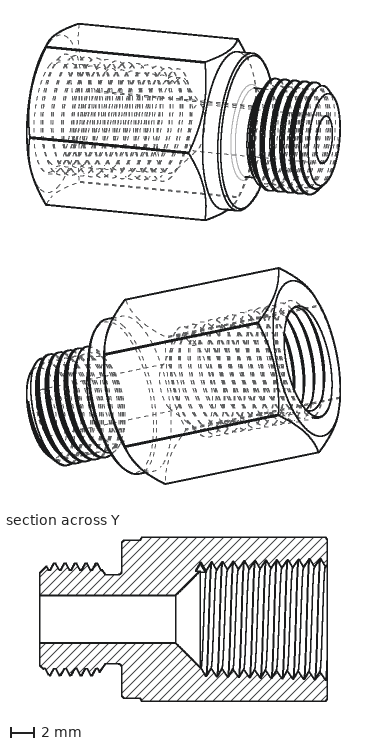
import cadquery as cq
import math

hex_sides = 6
hex_across_flats = 14.2
hex_corner_diameter = 16.33
hex_length = 16.2
hex_chamfer_angle = 30.0

collar_diameter = 13.7
collar_end = 17.8
collar_chamfer = 0.2

neck_diameter = 7.73
neck_end = 19.2
neck_fillet = 0.3

total_length = 24.9
outside_pitch = 0.907
outside_major_diameter = 9.728
outside_minor_diameter = 8.566
outside_flank_half_angle = 27.5
outside_root_flat = outside_pitch / 6
outside_tip_diameter = 8.0
outside_root_position = 18.6
outside_start_angle = 90.0
thread_start_angle = 55.0

inside_pitch = 25.4 / 27
inside_flank_half_angle = 30.0
inside_taper_angle = math.degrees(math.atan(1 / 32))
inside_crest_radius = 4.53
inside_thread_depth = 11.0
inside_crest_flat = 0.08 * inside_pitch
inside_root_flat = 0.04 * inside_pitch
inside_root_angle = 214.0

bore_diameter = 4.1
bore_cone_angle = 90.0

outside_groove_overrun = 0.05
inside_groove_overrun = 0.02

axis_plane = cq.Plane(origin=(0, 0, 0), xDir=(0, 1, 0), normal=(1, 0, 0))


def revolve_profile(profile):
    """Turn a closed (axial, radial) outline about the X axis."""
    return profile.close().revolve(360, (0, 0, 0), (1, 0, 0))


def thread_groove(
    start, start_angle, length, pitch, root_radius, root_flat, depth, half_angle, outward, taper=None
):
    """Right-hand helical groove along X, its root at root_radius where it starts.

    outward is +1 for a groove opening away from the axis and -1 for one opening towards it.
    """
    half_root = root_flat / 2
    half_mouth = half_root + depth * math.tan(math.radians(half_angle))
    mouth_radius = root_radius + outward * depth
    section = (
        cq.Workplane("XZ")
        .moveTo(root_radius, -half_root)
        .lineTo(root_radius, half_root)
        .lineTo(mouth_radius, half_mouth)
        .lineTo(mouth_radius, -half_mouth)
        .close()
    )
    if taper is None:
        helix = cq.Wire.makeHelix(pitch, length, root_radius)
    else:
        helix = cq.Wire.makeHelix(pitch, length, root_radius, angle=taper)
    groove = section.sweep(cq.Workplane(helix), isFrenet=True).val()
    placed = groove.moved(cq.Location(axis_plane)).moved(cq.Location((start, 0, 0)))
    return placed.rotate((0, 0, 0), (1, 0, 0), start_angle)


def make_hex_body():
    """Hexagon with flats on +Z and -Z, its corners turned down and both ends chamfered."""
    corner_radius = hex_corner_diameter / 2
    face_radius = collar_diameter / 2
    chamfer = (corner_radius - face_radius) * math.tan(math.radians(hex_chamfer_angle))
    sharp_corner_diameter = hex_across_flats / math.cos(math.radians(180 / hex_sides))
    prism = cq.Workplane("YZ").polygon(hex_sides, sharp_corner_diameter).extrude(hex_length)
    turned = revolve_profile(
        cq.Workplane("XY")
        .lineTo(0, face_radius)
        .lineTo(chamfer, corner_radius)
        .lineTo(hex_length - chamfer, corner_radius)
        .lineTo(hex_length, face_radius)
        .lineTo(hex_length, 0)
    )
    return prism.intersect(turned)


def make_spigot():
    """Collar, relief neck and the unthreaded blank of the outside thread."""
    collar_radius = collar_diameter / 2
    neck_radius = neck_diameter / 2
    thread_radius = outside_major_diameter / 2
    tip_radius = outside_tip_diameter / 2
    start_length = (thread_radius - neck_radius) / math.tan(math.radians(thread_start_angle))
    return revolve_profile(
        cq.Workplane("XY")
        .moveTo(hex_length, 0)
        .lineTo(hex_length, collar_radius)
        .lineTo(collar_end - collar_chamfer, collar_radius)
        .lineTo(collar_end, collar_radius - collar_chamfer)
        .lineTo(collar_end, neck_radius + neck_fillet)
        .radiusArc((collar_end + neck_fillet, neck_radius), -neck_fillet)
        .lineTo(neck_end, neck_radius)
        .lineTo(neck_end + start_length, thread_radius)
        .lineTo(total_length - (thread_radius - tip_radius), thread_radius)
        .lineTo(total_length, tip_radius)
        .lineTo(total_length, 0)
    )


def make_outside_groove():
    """Groove of the outside thread, running out past the tip."""
    root_radius = outside_minor_diameter / 2
    depth = outside_major_diameter / 2 - root_radius + outside_groove_overrun
    start = outside_root_position
    length = total_length - start + outside_pitch
    return thread_groove(
        start,
        outside_start_angle,
        length,
        outside_pitch,
        root_radius,
        outside_root_flat,
        depth,
        outside_flank_half_angle,
        1,
    )


def make_bore():
    """Tapered thread bore, cone and straight through bore as one cutter."""
    bore_radius = bore_diameter / 2
    taper_slope = math.tan(math.radians(inside_taper_angle))
    inner_radius = inside_crest_radius - inside_thread_depth * taper_slope
    cone_length = (inner_radius - bore_radius) / math.tan(math.radians(bore_cone_angle / 2))
    return revolve_profile(
        cq.Workplane("XY")
        .lineTo(0, inside_crest_radius)
        .lineTo(inside_thread_depth, inner_radius)
        .lineTo(inside_thread_depth + cone_length, bore_radius)
        .lineTo(total_length, bore_radius)
        .lineTo(total_length, 0)
    )


def make_inside_groove():
    """Groove of the inside thread, entering one pitch ahead of the open face."""
    slope = math.tan(math.radians(inside_flank_half_angle))
    depth = (inside_pitch - inside_crest_flat - inside_root_flat) / (2 * slope)
    start = -inside_pitch
    root_radius = inside_crest_radius + depth + inside_pitch * math.tan(math.radians(inside_taper_angle))
    return thread_groove(
        start,
        inside_root_angle,
        inside_thread_depth - start,
        inside_pitch,
        root_radius,
        inside_root_flat,
        depth + inside_groove_overrun,
        inside_flank_half_angle,
        -1,
        -inside_taper_angle,
    )


body = make_hex_body().union(make_spigot()).cut(make_bore())
threaded = body.cut(cq.Workplane(make_outside_groove()))
result = threaded.cut(cq.Workplane(make_inside_groove()))